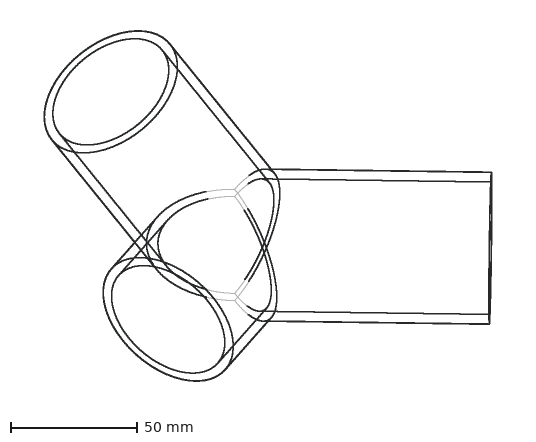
import cadquery as cq
import math

overall_width = 206.1
outer_diameter = 60.5
bore_diameter = 52.5
arm_angle = 30.0

outer_radius = outer_diameter / 2
arm_rise = math.radians(arm_angle)
arm_length = (overall_width / 2 - outer_radius * math.sin(arm_rise)) / math.cos(arm_rise)
stem_length = arm_length / 2

branches = [
    (arm_angle, arm_length),
    (180.0 - arm_angle, arm_length),
    (270.0, stem_length),
]


def branch_cylinder(diameter, angle, length):
    """Solid cylinder running outward from the origin in the XY plane."""
    return cq.Workplane("YZ").circle(diameter / 2).extrude(length).rotate((0, 0, 0), (0, 0, 1), angle)


def mitre_wedge(angle, reach):
    """Sector of 120 degrees around a branch, bounded by the planes shared with its neighbours."""
    half_width = reach * math.tan(math.radians(60.0))
    return (
        cq.Workplane("XY")
        .polyline([(0, 0), (reach, half_width), (reach, -half_width)])
        .close()
        .extrude(outer_diameter, both=True)
        .rotate((0, 0, 0), (0, 0, 1), angle)
    )


def mitred_branch(diameter, angle, length):
    """Cylinder started behind the centre and trimmed to its sector, so branches meet on mitre planes."""
    behind_centre = branch_cylinder(diameter, angle + 180.0, outer_diameter)
    full_cylinder = branch_cylinder(diameter, angle, length).union(behind_centre)
    return full_cylinder.intersect(mitre_wedge(angle, 2 * length))


def three_way(diameter):
    """Join the three mitred branches of one diameter."""
    joined = cq.Workplane("XY")
    for angle, length in branches:
        joined = joined.union(mitred_branch(diameter, angle, length))
    return joined


result = three_way(outer_diameter).cut(three_way(bore_diameter))